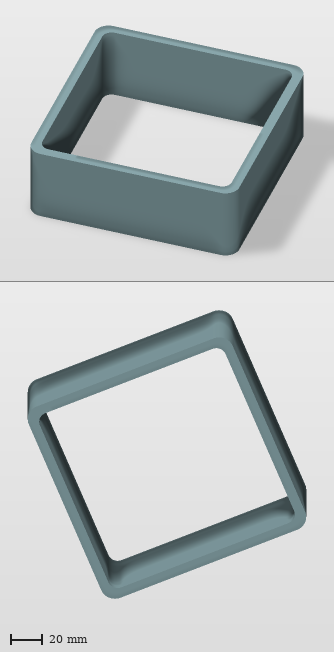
import cadquery as cq

side = 140.0
height = 50.0
wall = 6.3
outer_radius = 9.4
inner_radius = 6.3


def rounded_square_prism(width, corner_radius):
    """Square prism standing on Z = 0 with rounded vertical edges."""
    prism = cq.Workplane("XY").rect(width, width).extrude(height)
    return prism.edges("|Z").fillet(corner_radius)


outer_body = rounded_square_prism(side, outer_radius)
bore = rounded_square_prism(side - 2 * wall, inner_radius)

result = outer_body.cut(bore)